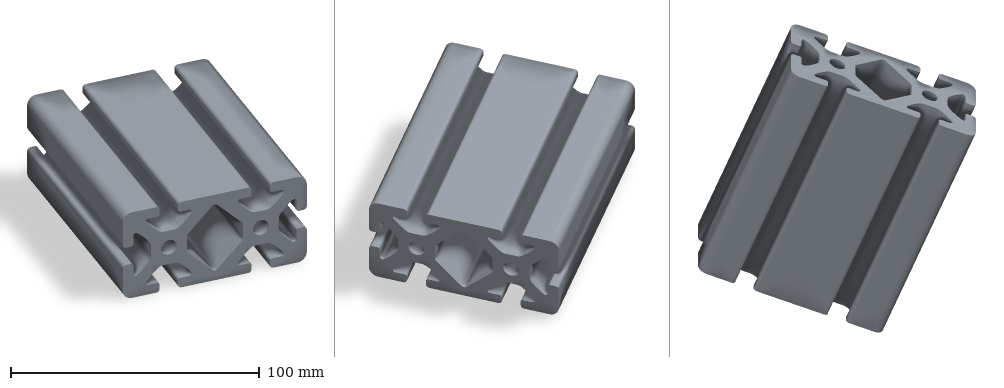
import cadquery as cq
import math

length = 100.0
cell = 40.0
width = 2 * cell
half_cell = cell / 2
corner_radius = 4.0

mouth_half_width = 4.0
lip_thickness = 4.5
core_half_width = 7.8
floor_half_width = 3.5
undercut_half_width = 11.0
wall_bulge = 0.5
lip_outer_radius = 1.5
lip_inner_radius = 1.1
undercut_radius = 1.1
floor_radius = 3.9

bore_diameter = 6.8
cavity_apex = 16.1
cavity_radius = 1.5

cell_centers = (-half_cell, half_cell)
mouth_clearance = 1.0


def section_plane():
    """Plane across the profile at its -X end: local x is Y, local y is Z."""
    return cq.Workplane("YZ", origin=(-length / 2, 0, 0))


def slot_cutter():
    """Slot of a cell centred on the X axis, opening towards +Z, with its inner corners rounded."""
    lip_underside = half_cell - lip_thickness
    wall_run = undercut_half_width - floor_half_width
    wall_rise = lip_underside - core_half_width
    wall_length = math.hypot(wall_run, wall_rise)
    middle_y = (floor_half_width + undercut_half_width) / 2 + wall_bulge * wall_rise / wall_length
    middle_z = (core_half_width + lip_underside) / 2 - wall_bulge * wall_run / wall_length
    slot_top = half_cell + mouth_clearance

    cutter = (
        section_plane()
        .moveTo(-floor_half_width, core_half_width)
        .lineTo(floor_half_width, core_half_width)
        .threePointArc((middle_y, middle_z), (undercut_half_width, lip_underside))
        .lineTo(mouth_half_width, lip_underside)
        .lineTo(mouth_half_width, slot_top)
        .lineTo(-mouth_half_width, slot_top)
        .lineTo(-mouth_half_width, lip_underside)
        .lineTo(-undercut_half_width, lip_underside)
        .threePointArc((-middle_y, middle_z), (-floor_half_width, core_half_width))
        .close()
        .extrude(length)
    )
    for y, z, radius in (
        (floor_half_width, core_half_width, floor_radius),
        (undercut_half_width, lip_underside, undercut_radius),
        (mouth_half_width, lip_underside, lip_inner_radius),
    ):
        for side in (-1, 1):
            cutter = round_edge(cutter, side * y, z, radius)
    return cutter


def round_edge(body, y, z, radius):
    """Round the lengthwise edge nearest to the given point of the section."""
    return body.edges("|X").edges(cq.NearestToPointSelector((0, y, z))).fillet(radius)


def slot_positions():
    """Cell centre and turn about X for each of the six slots."""
    positions = []
    for center in cell_centers:
        positions += [(center, 0), (center, 180)]
    positions += [(-half_cell, 90), (half_cell, -90)]
    return positions


def cut_slots(body):
    cutter = slot_cutter()
    for center, turn in slot_positions():
        body = body.cut(cutter.rotate((0, 0, 0), (1, 0, 0), turn).translate((0, center, 0)))
    return body


def round_lips(body):
    """Round the outer edges of every slot mouth."""
    for center in cell_centers:
        outer_y = math.copysign(width / 2, center)
        for side in (-1, 1):
            offset = side * mouth_half_width
            body = round_edge(body, center + offset, half_cell, lip_outer_radius)
            body = round_edge(body, center + offset, -half_cell, lip_outer_radius)
            body = round_edge(body, outer_y, offset, lip_outer_radius)
    return body


def central_cavity():
    """Diamond cavity between the cells, its side corners cut off by the cell cores."""
    side_y = half_cell - core_half_width
    side_z = cavity_apex - side_y
    cavity = (
        section_plane()
        .polyline([
            (0, cavity_apex), (side_y, side_z), (side_y, -side_z),
            (0, -cavity_apex), (-side_y, -side_z), (-side_y, side_z),
        ])
        .close()
        .extrude(length)
    )
    return cavity.edges("|X").fillet(cavity_radius)


def cell_bores():
    return (
        section_plane()
        .pushPoints([(center, 0) for center in cell_centers])
        .circle(bore_diameter / 2)
        .extrude(length)
    )


bar = cq.Workplane("XY").box(length, width, cell).edges("|X").fillet(corner_radius)
slotted_bar = round_lips(cut_slots(bar))
result = slotted_bar.cut(central_cavity()).cut(cell_bores())